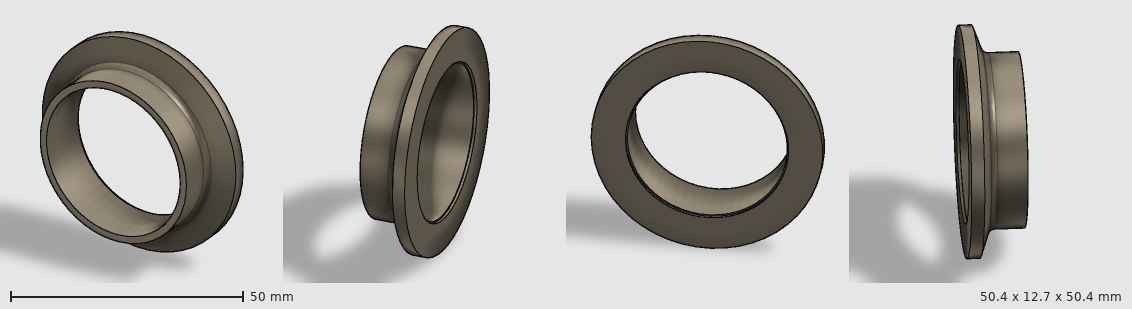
import cadquery as cq
import math

flange_diameter = 50.4
tube_outer_diameter = 38.1
bore_diameter = 34.8
total_length = 12.7
rim_thickness = 2.8
cone_angle = 20.0
neck_fillet_radius = 1.5
recess_diameter = 35.5
recess_depth = 0.65

flange_radius = flange_diameter / 2
tube_radius = tube_outer_diameter / 2
bore_radius = bore_diameter / 2
recess_radius = recess_diameter / 2

face_y = total_length / 2
tube_end_y = -total_length / 2
rim_back_y = face_y - rim_thickness
recess_floor_y = face_y - recess_depth

slope = math.tan(math.radians(cone_angle))
cone_root_y = rim_back_y - (flange_radius - tube_radius) * slope

ferrule = (
    cq.Workplane("XY")
    .moveTo(bore_radius, tube_end_y)
    .lineTo(tube_radius, tube_end_y)
    .lineTo(tube_radius, cone_root_y)
    .lineTo(flange_radius, rim_back_y)
    .lineTo(flange_radius, face_y)
    .lineTo(recess_radius, face_y)
    .lineTo(recess_radius, recess_floor_y)
    .lineTo(bore_radius, recess_floor_y)
    .close()
    .revolve(360, (0, 0, 0), (0, 1, 0))
)

edge_box_margin = 0.05
neck_edge = cq.selectors.BoxSelector(
    (-flange_radius, cone_root_y - edge_box_margin, -flange_radius),
    (flange_radius, cone_root_y + edge_box_margin, flange_radius),
    boundingbox=True,
)
result = ferrule.edges(neck_edge).fillet(neck_fillet_radius)